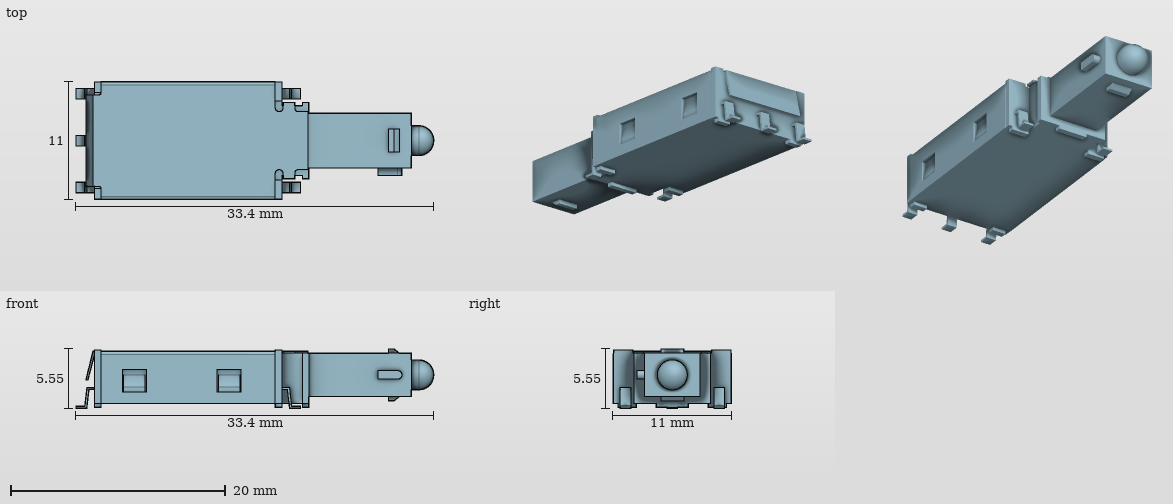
import cadquery as cq

bottom_z = 0.45
core_top_z = 5.15
cover_top_z = 5.35
post_top_z = 5.45
foot_z = 0.1
cover_thickness = cover_top_z - core_top_z

body_half_width = 5.5
end_half_width = 5.47
rear_x = 1.75
post_length = 0.65
cover_rear_x = rear_x + post_length
front_x = 19.23
cover_front_x = front_x - post_length
cover_edge_radius = 0.3
rear_post_inner_y = 4.47
front_post_inner_y = 3.67

flap_half_width = 4.27
flap_x = 1.6
flap_tip_x = 0.95
flap_tip_z = 2.65
flap_thickness = 0.2
rear_notch_radius = 0.2
slot_end_y = 2.7
slot_width = 0.75
neck_half_width = 3.27
tab_half_width = 3.57
tab_end_x = 20.43
tongue_half_width = 2.7
tongue_end_x = 21.63
tongue_notch_radius = 0.3
end_plate_x = 21.13
end_plate_length = 0.6
end_plate_range = (end_plate_x, end_plate_x + end_plate_length)
rear_wall_range = (rear_x, cover_rear_x)
front_wall_range = (cover_front_x, front_x)

window_starts = (4.35, 13.2)
window_length = 2.25
window_bottom_z = 1.5
window_top_z = 3.6
window_depth = 0.4
latch_side_gap = 0.15
latch_ramp_z = 2.0
latch_ramp_top_z = 3.1
latch_recess = 0.15

lead_width = 1.0
lead_thickness = 0.2
lead_reach = 1.75
lead_foot_length = 1.05
lead_shoulder = 0.7
lead_top_z = 1.95
outer_lead_y = 4.37

rear_foot_y = (3.67, 5.07)
front_foot_y = (3.35, 5.07)
plate_foot_half_width = 1.5

plunger_front_x = 31.28
plunger_half_width = 2.57
plunger_bottom_z = 1.1
plunger_axis_z = (plunger_bottom_z + core_top_z) / 2
tip_radius = 1.4
tip_end_x = 33.38
tip_round_x = tip_end_x - tip_radius
catch_start_x = 29.15
catch_length = 1.05
catch_height = 0.4
catch_ramp_length = 0.5
catch_half_width = 1.07
key_start_x = 28.17
key_length = 2.25
key_height = 0.8
key_depth = 0.7


def block(x_range, y_range, z_range):
    """Axis-aligned block given its limits along X, Y and Z."""
    sizes = [limits[1] - limits[0] for limits in (x_range, y_range, z_range)]
    corner = (x_range[0], y_range[0], z_range[0])
    return cq.Workplane("XY").box(*sizes, centered=False).translate(corner)


def centred_block(x_range, half_width, z_range):
    """Block that is symmetric about the XZ plane."""
    return block(x_range, (-half_width, half_width), z_range)


def both_sides(shape):
    """The shape together with its mirror image across the XZ plane."""
    return shape.union(shape.mirror("XZ"))


def extrude_along_y(points, centre_y, width):
    """Extrude an XZ outline to a width centred on the given Y."""
    start_y = centre_y + width / 2
    return cq.Workplane("XZ", origin=(0, start_y, 0)).polyline(points).close().extrude(width)


def make_body():
    """Core with its end walls, the neck and the end plate that guides the plunger."""
    core_z = (bottom_z, core_top_z)
    core = centred_block((rear_x, front_x), body_half_width - window_depth, core_z)
    for x_range in (rear_wall_range, front_wall_range):
        core = core.union(centred_block(x_range, end_half_width, core_z))
    core = core.union(centred_block((front_x, end_plate_x), neck_half_width, core_z))
    return core.union(centred_block(end_plate_range, tab_half_width, core_z))


def make_posts():
    """Four corner posts that rise through the cover."""
    post_z = (bottom_z, post_top_z)
    rear = block(rear_wall_range, (rear_post_inner_y, end_half_width), post_z)
    front = block(front_wall_range, (front_post_inner_y, end_half_width), post_z)
    return both_sides(rear.union(front))


def make_cover():
    """Cover with rounded long edges, rear corner notches, front slots and a narrowed tongue."""
    sheet_z = (core_top_z, cover_top_z)
    sides = centred_block(
        (cover_rear_x, cover_front_x), body_half_width, (bottom_z, cover_top_z)
    )
    sides = sides.edges("|X and >Z").fillet(cover_edge_radius)
    cover = sides.union(centred_block((flap_x, cover_rear_x), body_half_width, sheet_z))
    cover = cover.union(centred_block((cover_front_x, tongue_end_x), tab_half_width, sheet_z))

    rear_notch = block((flap_x, cover_rear_x), (flap_half_width, body_half_width), sheet_z)
    rear_notch = rear_notch.edges("|Z and >X and <Y").fillet(rear_notch_radius)
    tongue_notch = block((tab_end_x, tongue_end_x), (tongue_half_width, tab_half_width), sheet_z)
    tongue_notch = tongue_notch.edges("|Z and <X and <Y").fillet(tongue_notch_radius)
    slot_radius = slot_width / 2
    slot_axis_x = cover_front_x + slot_radius
    slot_round_y = slot_end_y + slot_radius
    slot = block((cover_front_x, cover_front_x + slot_width), (slot_round_y, body_half_width), sheet_z)
    slot_round = cq.Workplane("XY", origin=(slot_axis_x, slot_round_y, core_top_z))
    slot = slot.union(slot_round.circle(slot_radius).extrude(cover_thickness))
    return cover.cut(both_sides(rear_notch.union(tongue_notch).union(slot)))


def make_flap():
    """Sheet bent down from the rear edge of the cover, leaning outwards."""
    points = [
        (cover_rear_x, cover_top_z),
        (flap_x, cover_top_z),
        (flap_tip_x, flap_tip_z),
        (flap_tip_x + flap_thickness, flap_tip_z),
        (flap_x + flap_thickness, core_top_z),
        (cover_rear_x, core_top_z),
    ]
    return extrude_along_y(points, 0, 2 * flap_half_width)


def make_window(start_x):
    """Opening in the -Y side wall, less the ramped latch that fills its lower part."""
    wall_y = -body_half_width
    back_y = wall_y + window_depth
    latch_y = wall_y + latch_recess
    end_x = start_x + window_length
    opening = block((start_x, end_x), (wall_y, back_y), (window_bottom_z, window_top_z))
    latch_outline = [
        (back_y, window_bottom_z),
        (latch_y, window_bottom_z),
        (latch_y, latch_ramp_z),
        (back_y, latch_ramp_top_z),
    ]
    latch = (
        cq.Workplane("YZ", origin=(start_x + latch_side_gap, 0, 0))
        .polyline(latch_outline)
        .close()
        .extrude(window_length - 2 * latch_side_gap)
    )
    return opening.cut(latch)


def make_rear_lead(centre_y):
    """Z-bent lead running out of the rear face."""
    shoulder_x = lead_reach - lead_shoulder
    heel_x = lead_foot_length - lead_thickness
    points = [
        (0, 0),
        (lead_foot_length, 0),
        (shoulder_x + lead_thickness, lead_top_z - lead_thickness),
        (lead_reach, lead_top_z - lead_thickness),
        (lead_reach, lead_top_z),
        (shoulder_x, lead_top_z),
        (heel_x, lead_thickness),
        (0, lead_thickness),
    ]
    return extrude_along_y(points, centre_y, lead_width)


def make_front_lead(centre_y):
    """Mirror image of a rear lead, moved to the front face."""
    return make_rear_lead(centre_y).mirror("YZ").translate((front_x + lead_reach, 0, 0))


def make_feet():
    """Stand-off feet under the end walls and the end plate."""
    z_range = (foot_z, bottom_z)
    rear = block(rear_wall_range, rear_foot_y, z_range)
    front = block(front_wall_range, front_foot_y, z_range)
    plate_foot = centred_block(end_plate_range, plate_foot_half_width, z_range)
    return both_sides(rear.union(front)).union(plate_foot)


def make_plunger():
    """Rectangular plunger with a round, domed tip."""
    plunger = centred_block(
        (end_plate_x, plunger_front_x), plunger_half_width, (plunger_bottom_z, core_top_z)
    )
    tip = (
        cq.Workplane("XY", origin=(0, 0, plunger_axis_z))
        .moveTo(plunger_front_x, 0)
        .lineTo(plunger_front_x, tip_radius)
        .lineTo(tip_round_x, tip_radius)
        .radiusArc((tip_end_x, 0), tip_radius)
        .close()
        .revolve(360, (0, 0, 0), (1, 0, 0))
    )
    return plunger.union(tip)


def make_catches():
    """Catches on the top and the underside of the plunger, ramped towards its tip."""
    end_x = catch_start_x + catch_length
    flat_end_x = end_x - catch_ramp_length
    points = [
        (catch_start_x, plunger_bottom_z - catch_height),
        (flat_end_x, plunger_bottom_z - catch_height),
        (end_x, plunger_bottom_z),
        (end_x, core_top_z),
        (flat_end_x, core_top_z + catch_height),
        (catch_start_x, core_top_z + catch_height),
    ]
    return extrude_along_y(points, 0, 2 * catch_half_width)


def make_key():
    """Round-ended guide key on the -Y side of the plunger."""
    end_radius = key_height / 2
    round_x = key_start_x + key_length - end_radius
    return (
        cq.Workplane("XZ", origin=(0, -plunger_half_width, plunger_axis_z))
        .moveTo(key_start_x, -end_radius)
        .lineTo(round_x, -end_radius)
        .threePointArc((round_x + end_radius, 0), (round_x, end_radius))
        .lineTo(key_start_x, end_radius)
        .close()
        .extrude(key_depth)
    )


result = make_body().union(make_cover()).union(make_flap()).union(make_posts())
for window_start in window_starts:
    result = result.cut(both_sides(make_window(window_start)))
for lead_y in (-outer_lead_y, 0, outer_lead_y):
    result = result.union(make_rear_lead(lead_y))
for lead_y in (-outer_lead_y, outer_lead_y):
    result = result.union(make_front_lead(lead_y))
result = result.union(make_feet()).union(make_plunger()).union(make_catches()).union(make_key())